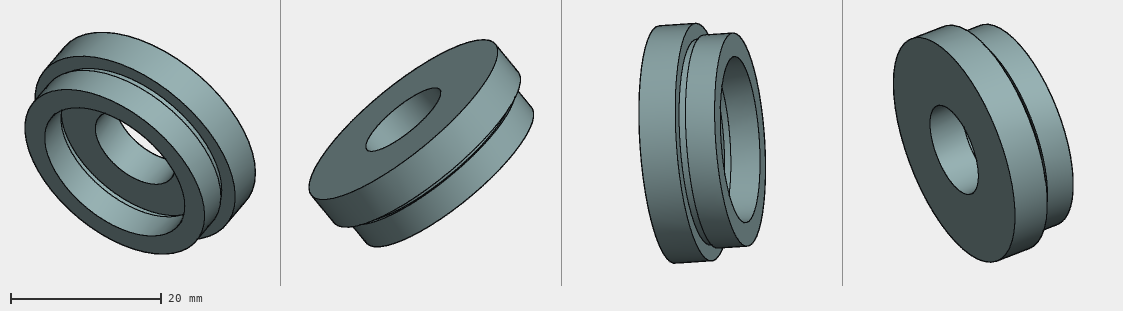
import cadquery as cq

flange_diameter = 31.75
flange_length = 5.0
groove_diameter = 27.5
groove_width = 1.0
spigot_diameter = 28.5
spigot_length = 4.0
bore_diameter = 12.6
recess_diameter = 22.2
recess_length = 4.0
undercut_diameter = 23.4
undercut_width = 1.0

total_length = spigot_length + groove_width + flange_length
spigot_face = -total_length / 2
groove_start = spigot_face + spigot_length
flange_start = groove_start + groove_width
undercut_start = spigot_face + recess_length


def cylinder(diameter, start, length):
    """Cylinder about the Y axis, growing toward +Y from the given station."""
    start_plane = cq.Workplane("XZ", origin=(0, start, 0))
    return start_plane.circle(diameter / 2).extrude(-length)


def outer_body():
    """Spigot, relief groove and flange stacked along Y."""
    spigot = cylinder(spigot_diameter, spigot_face, spigot_length)
    groove_core = cylinder(groove_diameter, groove_start, groove_width)
    flange = cylinder(flange_diameter, flange_start, flange_length)
    return spigot.union(groove_core).union(flange)


def cavity():
    """Through bore and spigot-side recess, with an undercut at the recess floor."""
    bore = cylinder(bore_diameter, spigot_face, total_length)
    recess = cylinder(recess_diameter, spigot_face, recess_length)
    undercut = cylinder(undercut_diameter, undercut_start, undercut_width)
    return bore.union(recess).union(undercut)


result = outer_body().cut(cavity())